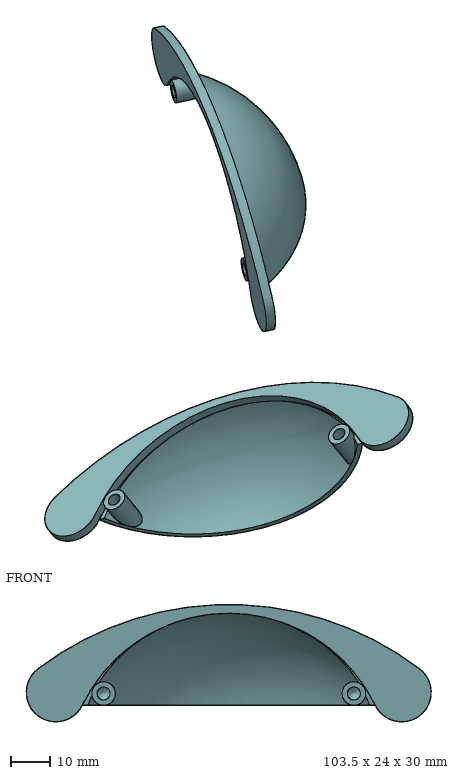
import cadquery as cq
import math

plate_length = 103.5
plate_height = 30.0
plate_thickness = 2.5
lobe_radius = 7.6
lobe_x = plate_length / 2 - lobe_radius
lobe_z = 3.3
plate_top = lobe_z - lobe_radius + plate_height
opening_top = 23.5

total_depth = 24.0
dome_half_width = 37.5
dome_radius = 33.1
dome_axis_y = -8.5
dome_axis_z = -math.sqrt(dome_radius**2 - (total_depth - dome_axis_y) ** 2)
wall = 1.2

post_x = 32.0
post_z = 3.0
post_radius = 3.0
post_front = 0.0
hole_radius = 1.7
hole_depth = 4.7
drill_tip_depth = 1.0

rim_end_radius = math.hypot(plate_thickness - dome_axis_y, dome_axis_z)
arc_rise = dome_radius - rim_end_radius
arc_radius = (dome_half_width**2 + arc_rise**2) / (2 * arc_rise)


def tangent_arc(top, lobe_side):
    """Radius and centre height of the arc peaking at `top` and tangent to both lobes.

    lobe_side is +1 when the lobes lie inside the arc and -1 when they lie outside.
    """
    drop = top - lobe_z
    radius = (lobe_x**2 + drop**2 - lobe_radius**2) / (2 * (drop - lobe_side * lobe_radius))
    return radius, top - radius


def arc_point(arc, lobe_side, x_side):
    """Point where a tangent arc touches a lobe."""
    radius, centre_z = arc
    reach = radius / (radius - lobe_side * lobe_radius)
    return x_side * lobe_x * reach, centre_z + (lobe_z - centre_z) * reach


def make_plate():
    outer = tangent_arc(plate_top, 1)
    inner = tangent_arc(opening_top, -1)
    lobe_bottom = lobe_z - lobe_radius
    outline = (
        cq.Workplane("XZ")
        .moveTo(*arc_point(outer, 1, -1))
        .threePointArc((0, plate_top), arc_point(outer, 1, 1))
        .threePointArc((lobe_x, lobe_bottom), arc_point(inner, -1, 1))
        .threePointArc((0, opening_top), arc_point(inner, -1, -1))
        .threePointArc((-lobe_x, lobe_bottom), arc_point(outer, 1, -1))
        .close()
    )
    return outline.extrude(-plate_thickness)


def dome_body(inset):
    """Solid of the dome surface moved inward by `inset`, behind the plate and above the rim."""
    radius = arc_radius - inset
    peak = dome_radius - inset
    half_length = math.sqrt(radius**2 - (radius - peak) ** 2)
    spindle = (
        cq.Workplane("XY")
        .moveTo(-half_length, 0)
        .threePointArc((0, peak), (half_length, 0))
        .close()
        .revolve(360, (0, 0), (1, 0))
        .translate((0, dome_axis_y, dome_axis_z))
    )
    room = cq.Workplane("XY").box(plate_length, total_depth, plate_height, centered=(True, False, False))
    return spindle.intersect(room.translate((0, plate_thickness, 0)))


def post_cylinder(x, radius, length):
    start = cq.Workplane("XZ", origin=(x, post_front, post_z))
    return start.circle(radius).extrude(-length)


def screw_hole(x):
    """Blind hole with a conical drill tip."""
    tip = cq.Solid.makeCone(
        hole_radius, 0, drill_tip_depth, cq.Vector(x, post_front + hole_depth, post_z), cq.Vector(0, 1, 0)
    )
    return post_cylinder(x, hole_radius, hole_depth).union(cq.Workplane(tip))


dome = dome_body(0)
shell = dome.cut(dome_body(wall))
result = make_plate().union(shell)
for x in (-post_x, post_x):
    post = post_cylinder(x, post_radius, total_depth)
    in_front = post_cylinder(x, post_radius, plate_thickness - post_front)
    result = result.union(post.intersect(dome)).union(in_front)
    result = result.cut(screw_hole(x))